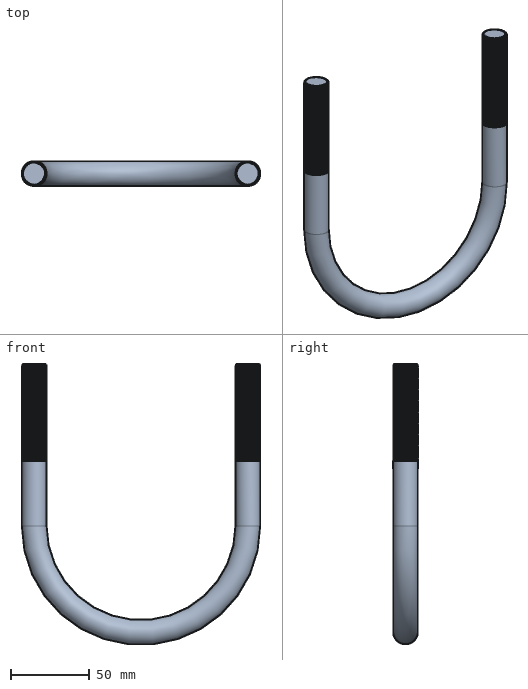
import cadquery as cq
import math

total_height = 179.0
total_width = 152.0
rod_diameter = 16.0

thread_length = 62.0
thread_turns = 62
thread_depth = 0.75
end_chamfer = 0.9
chamfer_clearance = 0.2
crest_share = 1 / 8
flank_steps = 6

rod_radius = rod_diameter / 2
bend_radius = (total_width - rod_diameter) / 2
bend_height = total_width / 2
thread_start = total_height - thread_length
thread_pitch = thread_length / thread_turns


def bent_rod():
    """Plain round rod bent into a U, up to the foot of the threads."""
    path = (
        cq.Workplane("XZ")
        .moveTo(-bend_radius, thread_start)
        .lineTo(-bend_radius, bend_height)
        .threePointArc((0, bend_height - bend_radius), (bend_radius, bend_height))
        .lineTo(bend_radius, thread_start)
    )
    start_section = cq.Workplane("XY", origin=(-bend_radius, 0, thread_start)).circle(rod_radius)
    return start_section.sweep(path)


def flank_points(side):
    """Points down one flank of the thread's cross-section, a spiral from crest to root."""
    crest_end = math.pi * crest_share
    points = []
    for step in range(flank_steps + 1):
        drop = step / flank_steps
        radius = rod_radius - drop * thread_depth
        angle = side * (crest_end + drop * (math.pi - crest_end))
        points.append((radius * math.cos(angle), radius * math.sin(angle)))
    return points


def thread_turn():
    """One full turn of the right-handed thread, made by twisting its cross-section."""
    falling = flank_points(1)
    rising = flank_points(-1)[::-1]
    return (
        cq.Workplane("XY")
        .moveTo(*rising[-1])
        .threePointArc((rod_radius, 0), falling[0])
        .spline(falling[1:], includeCurrent=True)
        .spline(rising[1:], includeCurrent=True)
        .close()
        .twistExtrude(thread_pitch, 360)
    )


def chamfer_ring():
    """Ring that bevels the top rim of a stud standing on the origin."""
    outer_radius = rod_radius + chamfer_clearance
    bevel_foot = thread_length - end_chamfer - chamfer_clearance
    ring_top = thread_length + chamfer_clearance
    return (
        cq.Workplane("XZ")
        .polyline([
            (rod_radius - end_chamfer, thread_length),
            (outer_radius, bevel_foot),
            (outer_radius, ring_top),
            (rod_radius - end_chamfer, ring_top),
        ])
        .close()
        .revolve(360, (0, 0, 0), (0, 1, 0))
    )


def threaded_end():
    """Threaded stud standing on the origin: single turns sewn into one skin, bevelled on top."""
    turn = thread_turn()
    foot = turn.faces("<Z").val()
    top = foot.translate(cq.Vector(0, 0, thread_length))
    turn_sides = [face for face in turn.faces().vals() if face.geomType() != "PLANE"]
    skin = [foot, top]
    for index in range(thread_turns):
        lift = cq.Vector(0, 0, index * thread_pitch)
        skin += [face.translate(lift) for face in turn_sides]
    stud = cq.Workplane(cq.Solid.makeSolid(cq.Shell.makeShell(skin)))
    return stud.cut(chamfer_ring())


result = bent_rod()
stud = threaded_end()
for leg_x in (-bend_radius, bend_radius):
    result = result.union(stud.translate((leg_x, 0, thread_start)))